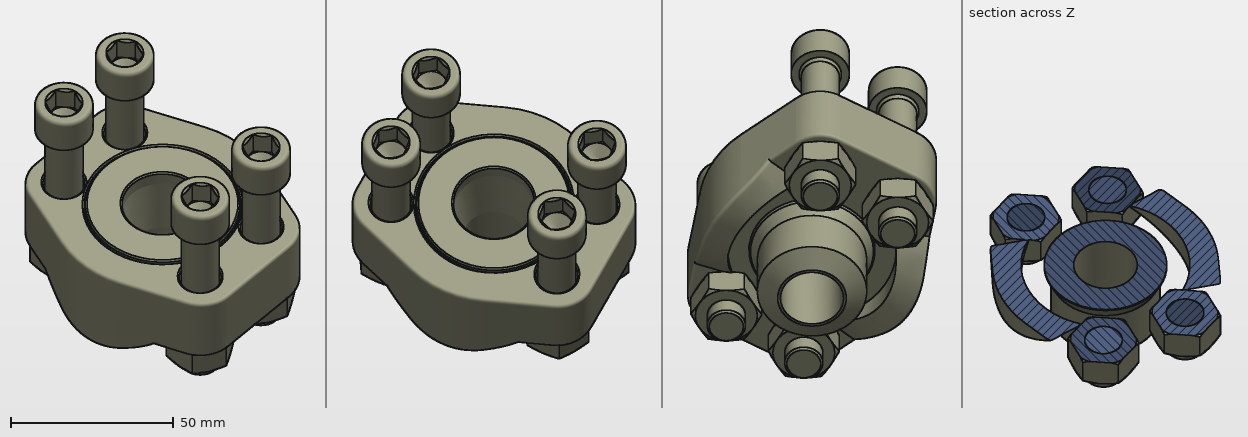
import cadquery as cq
import math

TOTAL_HEIGHT = 86.5
FLANGE_TOP = 49.5
FLANGE_BOTTOM = 25.5
LOBE_BOTTOM = 16.1
INSERT_TOP = 50.0
COLLAR_BOTTOM = 40.5

BOLT_X = 28.55
BOLT_Y = 13.8
BOLT_SPOTS = [(x, y) for x in (-BOLT_X, BOLT_X) for y in (-BOLT_Y, BOLT_Y)]

FLANGE_LENGTH = 81.0
FLANGE_WIDTH = 69.9
FLANGE_EDGE_ROUND = 1.0
LOBE_RADIUS = 34.6
LOBE_DRAFT = 7.0
LOBE_START = 8.65
RECESS_DIAMETER = 51.9
RIM_MIN_RADIUS = 32.9
COLLAR_SEAT_DIAMETER = 48.4
FLANGE_BORE = 38.8
BOLT_HOLE = 13.0
HOLE_CHAMFER = 0.5

COLLAR_DIAMETER = 47.6
COLLAR_CHAMFER = 0.5
HUB_DIAMETER = 37.9
HUB_BOTTOM = 24.7
NECK_DIAMETER = 33.7
NECK_TOP = 20.2
BEVEL_HEIGHT = 3.6
BEVEL_ANGLE = 30.0
MOUTH_BORE = 25.0
MOUTH_DEPTH = 4.9
MOUTH_CHAMFER = 0.5
NECK_BORE = 19.5
BORE_TAPER_LENGTH = 17.3

SHANK_DIAMETER = 11.8
BOLT_LENGTH = 65.0
HEAD_DIAMETER = 18.0
HEAD_HEIGHT = 12.0
HEAD_ROUND = 1.3
HEAD_BOTTOM = TOTAL_HEIGHT - HEAD_HEIGHT
UNDERHEAD_HEIGHT = 1.3
UNDERHEAD_DIAMETER = 13.1
TIP_CHAMFER = 0.65
SOCKET_FLATS = 10.0
SOCKET_DEPTH = 7.8
SOCKET_MOUTH = 11.6
SOCKET_TURN = 38.0
DRILL_POINT_ANGLE = 30.0

NUT_FLATS = 19.0
NUT_HEIGHT = 10.0
NUT_CHAMFER_ANGLE = 30.0
NUT_TOP = FLANGE_BOTTOM


def cylinder(diameter, bottom, top):
    return cq.Workplane("XY").workplane(offset=bottom).circle(diameter / 2).extrude(top - bottom)


def revolved(profile):
    """Solid of revolution about Z from (radius, height) points."""
    return cq.Workplane("XZ").polyline(profile).close().revolve(360, (0, 0, 0), (0, 1, 0))


def hexagon_corners(flats):
    """Diameter across the corners of a hexagon with the given width across flats."""
    return flats / math.cos(math.radians(30))


def flange_outline():
    """Two large arcs about the centre joined by tangent lines to arcs about the bolts."""
    large = FLANGE_WIDTH / 2
    small = FLANGE_LENGTH / 2 - BOLT_X
    tilt = math.atan2(BOLT_X, BOLT_Y) - math.acos((large - small) / math.hypot(BOLT_X, BOLT_Y))
    middle = (math.pi / 2 + tilt) / 2
    crown_x, crown_y = large * math.sin(tilt), large * math.cos(tilt)
    shoulder_x, shoulder_y = BOLT_X + small * math.sin(tilt), BOLT_Y + small * math.cos(tilt)
    corner_x, corner_y = BOLT_X + small * math.sin(middle), BOLT_Y + small * math.cos(middle)
    side_x = BOLT_X + small
    return (
        cq.Workplane("XY")
        .moveTo(-crown_x, crown_y)
        .threePointArc((0, large), (crown_x, crown_y))
        .lineTo(shoulder_x, shoulder_y)
        .threePointArc((corner_x, corner_y), (side_x, BOLT_Y))
        .lineTo(side_x, -BOLT_Y)
        .threePointArc((corner_x, -corner_y), (shoulder_x, -shoulder_y))
        .lineTo(crown_x, -crown_y)
        .threePointArc((0, -large), (-crown_x, -crown_y))
        .lineTo(-shoulder_x, -shoulder_y)
        .threePointArc((-corner_x, -corner_y), (-side_x, -BOLT_Y))
        .lineTo(-side_x, BOLT_Y)
        .threePointArc((-corner_x, corner_y), (-shoulder_x, shoulder_y))
        .close()
    )


def lobed_envelope():
    """Flat slab with a drafted round lobe below its front and back, wider than the flange."""
    axis_height = LOBE_BOTTOM + LOBE_RADIUS
    half_length = FLANGE_WIDTH / 2 - LOBE_START
    taper = half_length * math.tan(math.radians(LOBE_DRAFT))
    envelope = (
        cq.Workplane("XY").workplane(offset=FLANGE_BOTTOM)
        .rect(2 * FLANGE_LENGTH, 2 * FLANGE_WIDTH)
        .extrude(3 * LOBE_RADIUS)
    )
    for side in (1, -1):
        lobe = cq.Solid.makeCone(
            LOBE_RADIUS - taper,
            LOBE_RADIUS + taper,
            2 * half_length,
            cq.Vector(0, side * LOBE_START, axis_height),
            cq.Vector(0, side, 0),
        )
        envelope = envelope.union(cq.Workplane(lobe))
    return envelope


def chamfered_hole(diameter, bottom):
    """Cutter for a hole that opens with a chamfer at the flange top."""
    radius = diameter / 2
    return revolved([
        (0, bottom),
        (radius, bottom),
        (radius, FLANGE_TOP - HOLE_CHAMFER),
        (radius + HOLE_CHAMFER, FLANGE_TOP),
        (0, FLANGE_TOP),
    ])


def is_rim_edge(edge):
    """True for edges along the outline, false for the creases where the lobes start."""
    center = edge.Center()
    return math.hypot(center.x, center.y) > RIM_MIN_RADIUS


def nut_prism():
    """Plain hexagonal prism that fills the space of one nut."""
    return (
        cq.Workplane("XY").workplane(offset=NUT_TOP - NUT_HEIGHT)
        .polygon(6, hexagon_corners(NUT_FLATS))
        .extrude(NUT_HEIGHT)
    )


def make_flange():
    body = flange_outline().extrude(FLANGE_TOP).intersect(lobed_envelope())
    body = body.edges("not |Z").filter(is_rim_edge).fillet(FLANGE_EDGE_ROUND)
    body = body.cut(chamfered_hole(COLLAR_SEAT_DIAMETER, COLLAR_BOTTOM))
    body = body.cut(cylinder(FLANGE_BORE, 0, FLANGE_TOP))
    body = body.cut(cylinder(RECESS_DIAMETER, 0, FLANGE_BOTTOM))
    for x, y in BOLT_SPOTS:
        body = body.cut(chamfered_hole(BOLT_HOLE, 0).translate((x, y, 0)))
        body = body.cut(nut_prism().translate((x, y, 0)))
    return body


def make_insert():
    bevel_width = BEVEL_HEIGHT / math.tan(math.radians(BEVEL_ANGLE))
    mouth_bottom = INSERT_TOP - MOUTH_DEPTH
    return revolved([
        (NECK_BORE / 2, 0),
        (NECK_DIAMETER / 2 - bevel_width, 0),
        (NECK_DIAMETER / 2, BEVEL_HEIGHT),
        (NECK_DIAMETER / 2, NECK_TOP),
        (HUB_DIAMETER / 2, HUB_BOTTOM),
        (HUB_DIAMETER / 2, COLLAR_BOTTOM),
        (COLLAR_DIAMETER / 2, COLLAR_BOTTOM),
        (COLLAR_DIAMETER / 2, INSERT_TOP - COLLAR_CHAMFER),
        (COLLAR_DIAMETER / 2 - COLLAR_CHAMFER, INSERT_TOP),
        (MOUTH_BORE / 2 + MOUTH_CHAMFER, INSERT_TOP),
        (MOUTH_BORE / 2, INSERT_TOP - MOUTH_CHAMFER),
        (MOUTH_BORE / 2, mouth_bottom),
        (NECK_BORE / 2, mouth_bottom - BORE_TAPER_LENGTH),
    ])


def hex_socket():
    """Cutter for the hexagon socket, its countersunk mouth and its conical floor."""
    floor = TOTAL_HEIGHT - SOCKET_DEPTH
    radius = SOCKET_FLATS / 2
    mouth_depth = SOCKET_MOUTH / 2 - radius
    point_depth = radius * math.tan(math.radians(DRILL_POINT_ANGLE))
    hexagon = (
        cq.Workplane("XY").workplane(offset=floor)
        .polygon(6, hexagon_corners(SOCKET_FLATS))
        .extrude(SOCKET_DEPTH)
        .rotate((0, 0, 0), (0, 0, 1), SOCKET_TURN)
    )
    mouth = revolved([
        (0, TOTAL_HEIGHT),
        (SOCKET_MOUTH / 2, TOTAL_HEIGHT),
        (radius, TOTAL_HEIGHT - mouth_depth),
        (0, TOTAL_HEIGHT - mouth_depth),
    ])
    point = revolved([(0, floor), (radius, floor), (0, floor - point_depth)])
    return hexagon.union(mouth).union(point)


def make_bolt():
    head = cylinder(HEAD_DIAMETER, HEAD_BOTTOM, TOTAL_HEIGHT).faces(">Z").edges().fillet(HEAD_ROUND)
    shank = cylinder(SHANK_DIAMETER, HEAD_BOTTOM - BOLT_LENGTH, HEAD_BOTTOM)
    shank = shank.faces("<Z").chamfer(TIP_CHAMFER)
    underhead = revolved([
        (0, HEAD_BOTTOM),
        (UNDERHEAD_DIAMETER / 2, HEAD_BOTTOM),
        (SHANK_DIAMETER / 2, HEAD_BOTTOM - UNDERHEAD_HEIGHT),
        (0, HEAD_BOTTOM - UNDERHEAD_HEIGHT),
    ])
    return head.union(shank).union(underhead).cut(hex_socket())


def make_nut():
    bottom = NUT_TOP - NUT_HEIGHT
    corner_radius = hexagon_corners(NUT_FLATS) / 2
    flat_radius = NUT_FLATS / 2
    chamfer = (corner_radius - flat_radius) * math.tan(math.radians(NUT_CHAMFER_ANGLE))
    chamfered_disc = revolved([
        (0, bottom),
        (flat_radius, bottom),
        (corner_radius, bottom + chamfer),
        (corner_radius, NUT_TOP - chamfer),
        (flat_radius, NUT_TOP),
        (0, NUT_TOP),
    ])
    return nut_prism().intersect(chamfered_disc).cut(cylinder(SHANK_DIAMETER, bottom, NUT_TOP))


flange = make_flange()
insert = make_insert()
bolts = [make_bolt().translate((x, y, 0)).val() for x, y in BOLT_SPOTS]
nuts = [make_nut().translate((x, y, 0)).val() for x, y in BOLT_SPOTS]

result = cq.Compound.makeCompound([flange.val(), insert.val(), *bolts, *nuts])